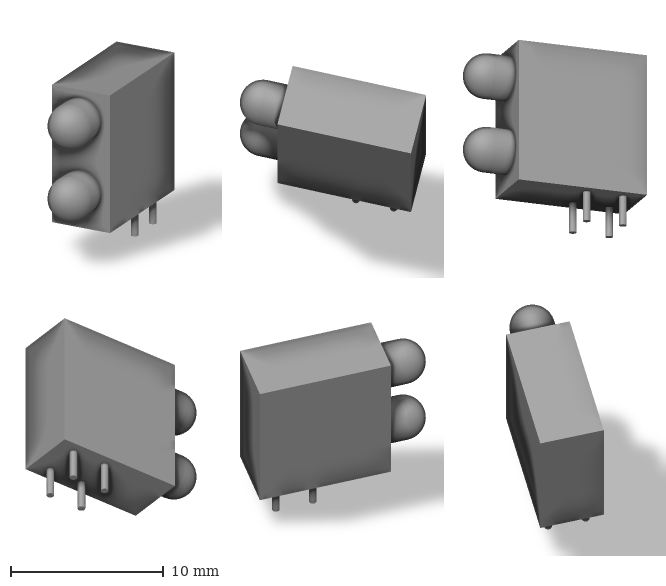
import cadquery as cq

HOUSING_WIDTH = 4.3
HOUSING_DEPTH = 9.0
HOUSING_HEIGHT = 9.65

LAMP_DIAMETER = 3.0
LAMP_RADIUS = LAMP_DIAMETER / 2
LAMP_LENGTH = 3.0
BARREL_LENGTH = LAMP_LENGTH - LAMP_RADIUS

PIN_PITCH = 2.55
PIN_DIAMETER = 0.5
PIN_LENGTH = 2.0
REAR_PIN_INSET = 1.37

LOWER_LAMP_HEIGHT = PIN_PITCH
LAMP_PITCH = 2 * PIN_PITCH
LAMP_HEIGHTS = [LOWER_LAMP_HEIGHT, LOWER_LAMP_HEIGHT + LAMP_PITCH]

REAR_PIN_Y = HOUSING_DEPTH - REAR_PIN_INSET
PIN_ROWS_Y = [REAR_PIN_Y - PIN_PITCH, REAR_PIN_Y]
PIN_COLUMNS_X = [-PIN_PITCH / 2, PIN_PITCH / 2]


def make_housing():
    """Block that carries the lamps and pins."""
    return cq.Workplane("XY").box(
        HOUSING_WIDTH, HOUSING_DEPTH, HOUSING_HEIGHT, centered=(True, False, False)
    )


def make_lamp(height):
    """Lamp standing on the front face: half its profile revolved about its own Y axis."""
    arc_offset = LAMP_RADIUS / 2**0.5
    return (
        cq.Workplane("XY")
        .lineTo(LAMP_RADIUS, 0)
        .lineTo(LAMP_RADIUS, -BARREL_LENGTH)
        .threePointArc((arc_offset, -BARREL_LENGTH - arc_offset), (0, -LAMP_LENGTH))
        .close()
        .revolve(360, (0, 0), (0, 1))
        .translate((0, 0, height))
    )


def make_pin(x, y):
    """Round lead hanging from the underside of the housing."""
    return cq.Workplane("XY").center(x, y).circle(PIN_DIAMETER / 2).extrude(-PIN_LENGTH)


housing = make_housing()
lamps = [make_lamp(height) for height in LAMP_HEIGHTS]
pins = [make_pin(x, y) for x in PIN_COLUMNS_X for y in PIN_ROWS_Y]

result = cq.Compound.makeCompound([body.val() for body in [housing, *lamps, *pins]])